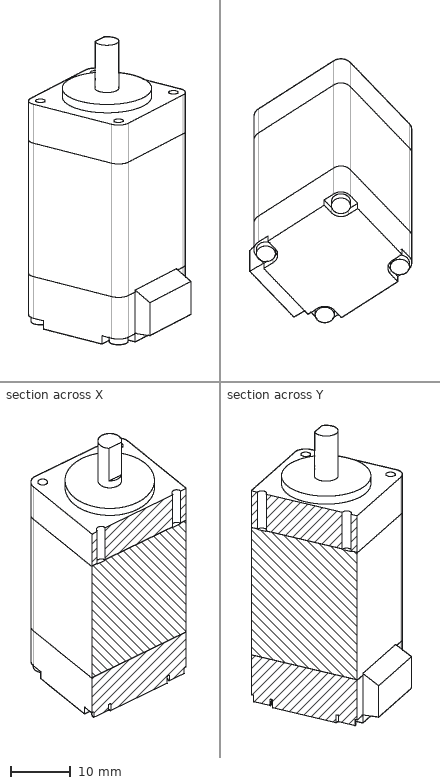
import cadquery as cq

body_width = 20.0
corner_radius = 2.0
rear_top = 9.0
stator_top = 33.0
flange_top = 40.0

pilot_diameter = 15.0
pilot_height = 1.5
pilot_top = flange_top + pilot_height

corner_offset = body_width / 2 - corner_radius
corner_centres = [(x, y) for x in (-corner_offset, corner_offset) for y in (-corner_offset, corner_offset)]
mount_hole_diameter = 1.6

relief_size = 2 * corner_radius
relief_height = 1.5
foot_diameter = 3.2
foot_bottom = 0.3

connector_width = 12.0
connector_depth = 3.0
connector_wall_bottom = 1.55
connector_wall_top = 9.35
connector_outer_bottom = 1.8
connector_outer_top = 7.75

shaft_diameter = 4.0
shaft_top = 50.0
flat_offset = 1.5
flat_bottom = 43.0


def housing_section(bottom, top):
    """Square block with rounded vertical corners."""
    return (
        cq.Workplane("XY", origin=(0, 0, bottom))
        .rect(body_width, body_width)
        .extrude(top - bottom)
        .edges("|Z")
        .fillet(corner_radius)
    )


def make_front_flange():
    """Flange with pilot, shaft bore and four mounting holes, all through."""
    flange = housing_section(stator_top, flange_top)
    pilot = cq.Workplane("XY", origin=(0, 0, flange_top)).circle(pilot_diameter / 2).extrude(pilot_height)
    section_base = cq.Workplane("XY", origin=(0, 0, stator_top))
    bore = section_base.circle(shaft_diameter / 2).extrude(pilot_top - stator_top)
    mount_holes = (
        section_base.pushPoints(corner_centres)
        .circle(mount_hole_diameter / 2)
        .extrude(flange_top - stator_top)
    )
    return flange.union(pilot).cut(bore).cut(mount_holes)


def make_connector():
    """Tapered connector block, symmetric about the XZ plane."""
    wall_x = body_width / 2
    outer_x = wall_x + connector_depth
    return (
        cq.Workplane("XZ")
        .moveTo(wall_x, connector_wall_bottom)
        .lineTo(outer_x, connector_outer_bottom)
        .lineTo(outer_x, connector_outer_top)
        .lineTo(wall_x, connector_wall_top)
        .close()
        .extrude(connector_width / 2, both=True)
    )


def make_rear_cap():
    """Rear cap with corner reliefs, feet and the connector."""
    reliefs = (
        cq.Workplane("XY")
        .rect(body_width, body_width, forConstruction=True)
        .vertices()
        .rect(2 * relief_size, 2 * relief_size)
        .extrude(relief_height)
        .edges("|Z")
        .fillet(corner_radius)
    )
    feet = (
        cq.Workplane("XY", origin=(0, 0, foot_bottom))
        .pushPoints(corner_centres)
        .circle(foot_diameter / 2)
        .extrude(relief_height - foot_bottom)
    )
    return housing_section(0, rear_top).cut(reliefs).union(feet).union(make_connector())


def make_shaft():
    """Round shaft standing on the stator, flattened at its free end."""
    shaft = (
        cq.Workplane("XY", origin=(0, 0, stator_top))
        .circle(shaft_diameter / 2)
        .extrude(shaft_top - stator_top)
    )
    flat_cut = (
        cq.Workplane("XY", origin=(-flat_offset - shaft_diameter / 2, 0, flat_bottom))
        .rect(shaft_diameter, shaft_diameter)
        .extrude(shaft_top - flat_bottom)
    )
    return shaft.cut(flat_cut)


front_flange = make_front_flange()
stator = housing_section(rear_top, stator_top)
rear_cap = make_rear_cap()
shaft = make_shaft()

result = cq.Compound.makeCompound([front_flange.val(), stator.val(), rear_cap.val(), shaft.val()])